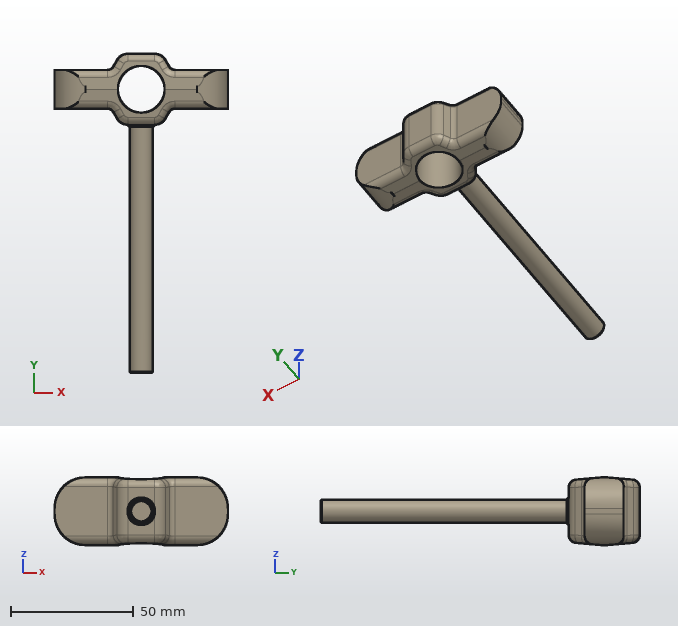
import cadquery as cq
import math

HEAD_LENGTH = 71.12
RIDGE_HEIGHT = 28.06
RIDGE_SLOPE = 5.0
HUB_WIDTH = 29.21
ARM_WIDTH = 16.0
BORE_DIAMETER = 19.05
END_HEIGHT = 27.85
END_RADIUS = 12.7
HUB_CORNER_RADIUS = 5.3
ARM_CORNER_RADIUS = 2.65
RIM_RADIUS = 3.4

ROD_DIAMETER = 9.53
ROD_LENGTH = 101.6
ROD_BASE_FLARE = 0.9
ROD_TIP_CHAMFER = 0.6

HUB_APOTHEM = HUB_WIDTH / 2
HUB_ACROSS_CORNERS = HUB_WIDTH / math.cos(math.radians(30))
HUB_CORNER_X = HUB_ACROSS_CORNERS / 4
ARM_CORNER_X = HUB_ACROSS_CORNERS / 2 - ARM_WIDTH / 2 * math.tan(math.radians(30))


def vertical_edges_at(x, y):
    """Filter that accepts the four vertical edges at (+-x, +-y)."""
    tolerance = 0.1

    def matches(edge):
        center = edge.Center()
        return abs(abs(center.x) - x) < tolerance and abs(abs(center.y) - y) < tolerance

    return matches


def plan_prism(length):
    """Hexagon and arms as an upright prism with rounded vertical corners."""
    hub = cq.Workplane("XY").polygon(6, HUB_ACROSS_CORNERS).extrude(RIDGE_HEIGHT / 2, both=True)
    arms = cq.Workplane("XY").rect(length, ARM_WIDTH).extrude(RIDGE_HEIGHT / 2, both=True)
    prism = hub.union(arms).clean()
    hub_corners = prism.edges("|Z").filter(vertical_edges_at(HUB_CORNER_X, HUB_APOTHEM))
    prism = hub_corners.fillet(HUB_CORNER_RADIUS)
    arm_corners = prism.edges("|Z").filter(vertical_edges_at(ARM_CORNER_X, ARM_WIDTH / 2))
    return arm_corners.fillet(ARM_CORNER_RADIUS)


def ridged_bar(length):
    """Bar along X whose top and bottom slope down from a ridge at Y = 0."""
    ridge_z = RIDGE_HEIGHT / 2
    edge_y = HUB_WIDTH
    edge_z = ridge_z - edge_y * math.tan(math.radians(RIDGE_SLOPE))
    outline = [
        (0, ridge_z), (edge_y, edge_z), (edge_y, -edge_z),
        (0, -ridge_z), (-edge_y, -edge_z), (-edge_y, edge_z),
    ]
    return cq.Workplane("YZ").polyline(outline).close().extrude(length / 2, both=True)


def end_rounding():
    """Trimming body: X ends rounded about Y, full ridge height kept between them."""
    plate = cq.Workplane("XY").box(HEAD_LENGTH, 2 * HUB_WIDTH, END_HEIGHT)
    plate = plate.edges("|Y").fillet(END_RADIUS)
    middle_length = HEAD_LENGTH - 2 * END_RADIUS
    middle = cq.Workplane("XY").box(middle_length, 2 * HUB_WIDTH, RIDGE_HEIGHT)
    return plate.union(middle)


def head():
    blank_length = HEAD_LENGTH + 2 * END_RADIUS
    blank = plan_prism(blank_length).intersect(ridged_bar(blank_length))
    rim = blank.edges("(not |Z) and (not >X) and (not <X)")
    rim = rim.filter(lambda edge: abs(edge.Center().y) > ARM_WIDTH / 4)
    blank = rim.fillet(RIM_RADIUS)
    return blank.intersect(end_rounding())


def rod():
    """Rod with a flared base and a chamfered tip, revolved about the Y axis."""
    radius = ROD_DIAMETER / 2
    flare_radius = radius + ROD_BASE_FLARE
    face_y = -HUB_APOTHEM
    tip_y = face_y - ROD_LENGTH
    root_y = (face_y - BORE_DIAMETER / 2) / 2
    outline = [
        (0, root_y),
        (flare_radius, root_y),
        (flare_radius, face_y),
        (radius, face_y - ROD_BASE_FLARE),
        (radius, tip_y + ROD_TIP_CHAMFER),
        (radius - ROD_TIP_CHAMFER, tip_y),
        (0, tip_y),
    ]
    return cq.Workplane("XY").polyline(outline).close().revolve(360, (0, 0, 0), (0, 1, 0))


def bore():
    return cq.Workplane("XY").circle(BORE_DIAMETER / 2).extrude(RIDGE_HEIGHT, both=True)


result = head().union(rod()).cut(bore())